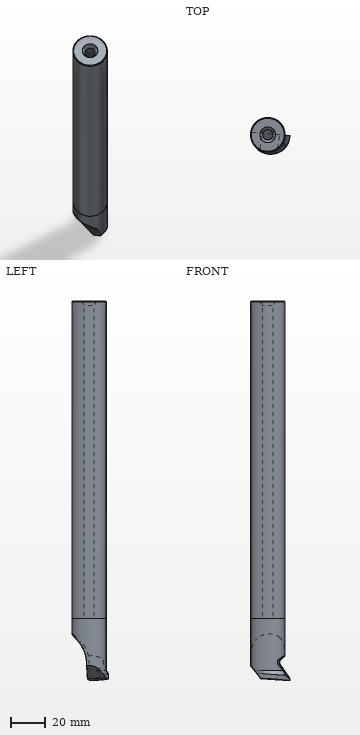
import cadquery as cq
import math

bar_length = 221.2
bar_diameter = 20.1
head_length = 36.3
rim_chamfer = 0.5
cutter_size = 88.5

bore_diameter = 6.0
mouth_diameter = 9.0
mouth_angle = 60.0

collar_offset = 1.7
collar_overhang = 1.3
collar_radius = bar_diameter / 2 + collar_overhang
collar_depth = 8.8
collar_edge_height = 3.8
collar_tilt = 4.0
shoulder_top = 6.0

rake_offset = 0.7
rake_angle = 5.0
runout_start = 9.7
runout_radius = 20.0
runout_angle = 45.0

notch_x = 6.2
notch_z = 11.0
notch_top_angle = 42.0
notch_flank_angle = 55.5
notch_fillet = 2.2
notch_relief_angle = 9.0

heel_x = -4.5
heel_z = 1.65
heel_angle = 52.0

tip_x = 12.6
end_angle = 4.0
end_relief_angle = 2.0


def make_shank():
    """Plain round bar with a through bore and a conical mouth at its top."""
    shank_length = bar_length - head_length
    mouth_depth = (mouth_diameter - bore_diameter) / 2 / math.tan(math.radians(mouth_angle / 2))
    shank = cq.Workplane("XY").workplane(offset=head_length).circle(bar_diameter / 2).extrude(shank_length)
    shank = shank.faces(">Z").edges().chamfer(rim_chamfer)
    bore = cq.Workplane("XY").workplane(offset=head_length).circle(bore_diameter / 2).extrude(shank_length)
    mouth = cq.Workplane(
        cq.Solid.makeCone(bore_diameter / 2, mouth_diameter / 2, mouth_depth,
                          pnt=cq.Vector(0, 0, bar_length - mouth_depth))
    )
    return shank.cut(bore).cut(mouth)


def make_head_blank():
    """Round neck, tapered shoulder and offset collar, stacked from the shank down."""
    neck = (
        cq.Workplane("XY").workplane(offset=shoulder_top)
        .circle(bar_diameter / 2).extrude(head_length - shoulder_top)
    )
    collar_plane = (
        cq.Workplane("XY")
        .transformed(offset=(collar_offset, 0, collar_edge_height), rotate=(0, collar_tilt, 0))
    )
    collar = collar_plane.circle(collar_radius).extrude(-collar_depth)
    shoulder_rim = cq.Wire.makeCircle(bar_diameter / 2, cq.Vector(0, 0, shoulder_top), cq.Vector(0, 0, 1))
    collar_rim = cq.Wire.makeCircle(collar_radius, collar_plane.plane.origin, collar_plane.plane.zDir)
    shoulder = cq.Workplane(cq.Solid.makeLoft([collar_rim, shoulder_rim], True))
    return neck.union(shoulder).union(collar)


def rake_cutter():
    """Everything behind the rake face and its run-out."""
    arc_turn = math.radians(runout_angle)

    def runout_point(turn):
        y = rake_offset + runout_radius * (1 - math.cos(turn))
        z = runout_start + runout_radius * math.sin(turn)
        return y, z

    arc_end_y, arc_end_z = runout_point(arc_turn)
    slope_rise = (cutter_size - arc_end_y) / math.tan(arc_turn)
    profile = (
        cq.Workplane("YZ").workplane(offset=-cutter_size / 2)
        .moveTo(rake_offset, -cutter_size)
        .lineTo(rake_offset, runout_start)
        .threePointArc(runout_point(arc_turn / 2), (arc_end_y, arc_end_z))
        .lineTo(cutter_size, arc_end_z + slope_rise)
        .lineTo(cutter_size, -cutter_size)
        .close()
    )
    return profile.extrude(cutter_size).rotate((0, 0, 0), (0, 0, 1), -rake_angle)


def notch_cutter():
    """V-shaped notch with a rounded root, open towards +X."""
    rise = cutter_size * math.tan(math.radians(notch_top_angle))
    fall = cutter_size * math.tan(math.radians(notch_flank_angle))
    wedge = (
        cq.Workplane("XZ").workplane(offset=-cutter_size / 2)
        .polyline([(0, 0), (cutter_size, rise), (cutter_size, -fall)]).close()
        .extrude(cutter_size)
        .edges("<X").fillet(notch_fillet)
    )
    return wedge.rotate((0, 0, 0), (0, 0, 1), -notch_relief_angle).translate((notch_x, 0, notch_z))


def heel_cutter():
    """Half space outside the slanted heel face."""
    block = cq.Workplane("XY").box(cutter_size, cutter_size, cutter_size, centered=(True, True, False))
    block = block.translate((0, 0, -cutter_size))
    return block.rotate((0, 0, 0), (0, 1, 0), heel_angle).translate((heel_x, 0, heel_z))


def end_cutter():
    """Half space below the relieved end face."""
    block = cq.Workplane("XY").box(cutter_size, cutter_size, cutter_size, centered=(True, True, False))
    block = block.translate((0, 0, -cutter_size))
    block = block.rotate((0, 0, 0), (1, 0, 0), -end_relief_angle)
    return block.rotate((0, 0, 0), (0, 1, 0), end_angle).translate((tip_x, 0, 0))


def make_head():
    """Cutting head: the blank cut by the rake, notch, heel and end faces."""
    head = make_head_blank()
    for cutter in (rake_cutter(), notch_cutter(), heel_cutter(), end_cutter()):
        head = head.cut(cutter)
    return head


shank = make_shank()
head = make_head()

result = cq.Compound.makeCompound([shank.val(), head.val()])